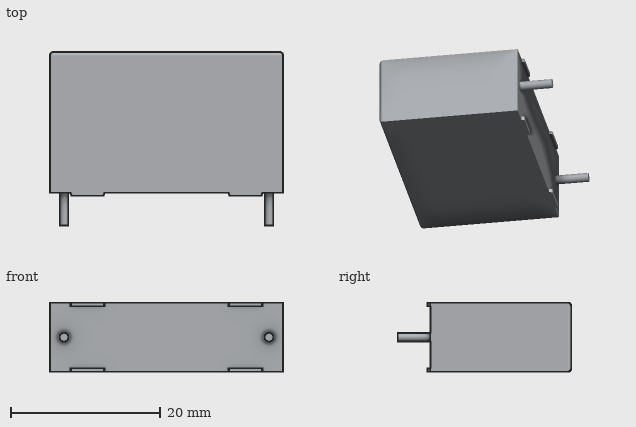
import cadquery as cq


case_length = 31.3
case_height = 18.9
case_thickness = 9.3
edge_radius = 0.5

foot_base_length = 4.6
foot_side_taper = 0.15
foot_height = 0.4
foot_thickness = 0.5
foot_center_x = 10.6

lead_diameter = 1.2
lead_pitch = 27.5
lead_length = 4.4


def make_foot(center_x, bottom_z):
    """Trapezoidal foot standing on the seating face, flush with one broad side."""
    base_half = foot_base_length / 2
    tip_half = base_half - foot_side_taper
    outline = [
        (center_x - base_half, 0),
        (center_x - tip_half, -foot_height),
        (center_x + tip_half, -foot_height),
        (center_x + base_half, 0),
    ]
    return cq.Workplane("XY", origin=(0, 0, bottom_z)).polyline(outline).close().extrude(foot_thickness)


def make_case():
    """Rectangular case with a rounded +Y face and a foot pair along each broad side."""
    body = cq.Workplane("XY").box(case_length, case_height, case_thickness, centered=(True, False, True))
    body = body.faces(">Y").edges().fillet(edge_radius)
    for center_x in (-foot_center_x, foot_center_x):
        for bottom_z in (-case_thickness / 2, case_thickness / 2 - foot_thickness):
            body = body.union(make_foot(center_x, bottom_z))
    return body.solids()


def make_lead(center_x):
    """Round lead that starts on the seating face."""
    return cq.Workplane("XZ", origin=(center_x, 0, 0)).circle(lead_diameter / 2).extrude(lead_length)


case = make_case()
leads = [make_lead(side * lead_pitch / 2) for side in (-1, 1)]

result = cq.Compound.makeCompound([case.val(), *[lead.val() for lead in leads]])